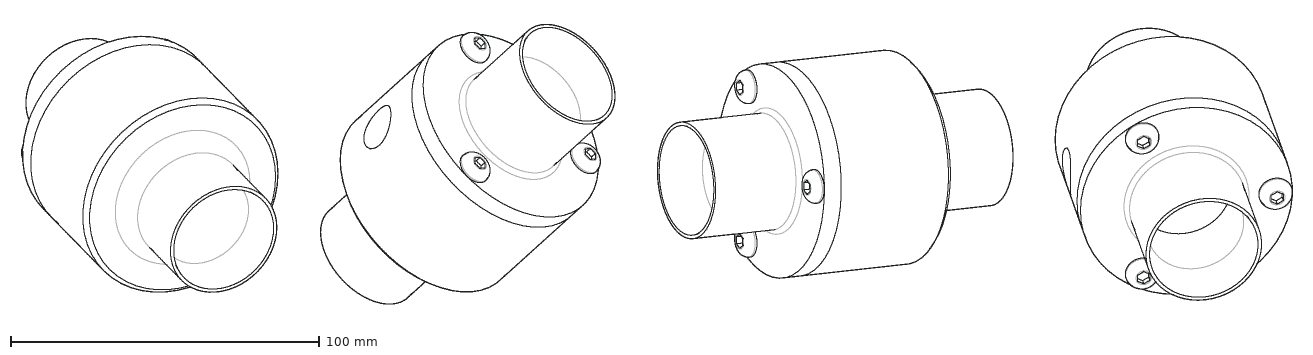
import cadquery as cq
import math

LENGTH = 111.1
FLANGE_START = 31.6
JOINT_X = 37.9
HOUSING_END = 79.6
BODY_RADIUS = 69.9 / 2
END_CHAMFER = 1.7

PIPE_RADIUS = 38.1 / 2
MOUTH_RADIUS = 17.9
BORE_RADIUS = 31.8 / 2
TAPER_LENGTH = 15.0
FLANGE_FILLET = 1.6
NECK_LENGTH = 6.3
NECK_ROOT_RADIUS = 48.2 / 2

PORT_DIAMETER = 15.1
PORT_X = 57.1

SCREW_COUNT = 3
SCREW_CIRCLE_RADIUS = 29.3
FIRST_SCREW_ANGLE = 180.0
HEAD_RADIUS = 5.5
HEAD_HEIGHT = 3.3
HEAD_RIM = 0.7
HEAD_TOP_RADIUS = 5.1 / 2
SHANK_DIAMETER = 6.0
SHANK_LENGTH = 16.0
SOCKET_FLATS = 4.0
SOCKET_DEPTH = 2.1

SCREW_ANGLES = [math.radians(FIRST_SCREW_ANGLE + i * 360 / SCREW_COUNT) for i in range(SCREW_COUNT)]
SCREW_CENTRES = [
    (SCREW_CIRCLE_RADIUS * math.cos(angle), SCREW_CIRCLE_RADIUS * math.sin(angle))
    for angle in SCREW_ANGLES
]


def revolve_about_x(profile):
    """Turn a profile drawn as (x, radius) once around the X axis."""
    return profile.close().revolve(360, (0, 0, 0), (1, 0, 0))


def drill_screw_holes(body):
    """Cut the holes that the screw shanks fill, from the flange face inward."""
    holes = (
        cq.Workplane("YZ", origin=(FLANGE_START, 0, 0))
        .pushPoints(SCREW_CENTRES)
        .circle(SHANK_DIAMETER / 2)
        .extrude(SHANK_LENGTH)
    )
    return body.cut(holes)


def make_flange():
    """Inlet pipe with a tapered mouth and a round flange filleted onto it."""
    arc_middle = FLANGE_FILLET * (1 - math.sqrt(0.5))
    fillet_start = FLANGE_START - FLANGE_FILLET
    flange = revolve_about_x(
        cq.Workplane("XY")
        .moveTo(0, MOUTH_RADIUS)
        .lineTo(0, PIPE_RADIUS)
        .lineTo(fillet_start, PIPE_RADIUS)
        .threePointArc(
            (FLANGE_START - arc_middle, PIPE_RADIUS + arc_middle),
            (FLANGE_START, PIPE_RADIUS + FLANGE_FILLET),
        )
        .lineTo(FLANGE_START, BODY_RADIUS)
        .lineTo(JOINT_X, BODY_RADIUS)
        .lineTo(JOINT_X, BORE_RADIUS)
        .lineTo(TAPER_LENGTH, BORE_RADIUS)
    )
    return drill_screw_holes(flange)


def make_housing():
    """Chamfered housing, curved neck and outlet pipe, with a radial port."""
    neck_end = HOUSING_END + NECK_LENGTH
    neck_rise = NECK_ROOT_RADIUS - PIPE_RADIUS
    neck_arc_radius = (NECK_LENGTH**2 + neck_rise**2) / (2 * neck_rise)
    half_sweep = math.asin(NECK_LENGTH / neck_arc_radius) / 2
    arc_middle = (
        neck_end - neck_arc_radius * math.sin(half_sweep),
        PIPE_RADIUS + neck_arc_radius * (1 - math.cos(half_sweep)),
    )
    housing = revolve_about_x(
        cq.Workplane("XY")
        .moveTo(JOINT_X, BORE_RADIUS)
        .lineTo(JOINT_X, BODY_RADIUS)
        .lineTo(HOUSING_END - END_CHAMFER, BODY_RADIUS)
        .lineTo(HOUSING_END, BODY_RADIUS - END_CHAMFER)
        .lineTo(HOUSING_END, NECK_ROOT_RADIUS)
        .threePointArc(arc_middle, (neck_end, PIPE_RADIUS))
        .lineTo(LENGTH, PIPE_RADIUS)
        .lineTo(LENGTH, MOUTH_RADIUS)
        .lineTo(LENGTH - TAPER_LENGTH, BORE_RADIUS)
    )
    port = cq.Workplane("XZ").center(PORT_X, 0).circle(PORT_DIAMETER / 2).extrude(-BODY_RADIUS)
    return drill_screw_holes(housing.cut(port))


def make_screw(y, z):
    """Button-head screw with a domed rim and a hexagon socket, seated on the flange."""
    top_x = -HEAD_HEIGHT
    screw = revolve_about_x(
        cq.Workplane("XY")
        .moveTo(top_x, 0)
        .lineTo(top_x, HEAD_TOP_RADIUS)
        .tangentArcPoint((-HEAD_RIM, HEAD_RADIUS), relative=False)
        .lineTo(0, HEAD_RADIUS)
        .lineTo(0, SHANK_DIAMETER / 2)
        .lineTo(SHANK_LENGTH, SHANK_DIAMETER / 2)
        .lineTo(SHANK_LENGTH, 0)
    )
    socket = (
        cq.Workplane("YZ", origin=(top_x, 0, 0))
        .polygon(6, SOCKET_FLATS, circumscribed=True)
        .extrude(SOCKET_DEPTH)
    )
    return screw.cut(socket).translate((FLANGE_START, y, z))


flange = make_flange()
housing = make_housing()
screws = [make_screw(y, z) for y, z in SCREW_CENTRES]

result = cq.Compound.makeCompound([flange.val(), housing.val(), *[screw.val() for screw in screws]])